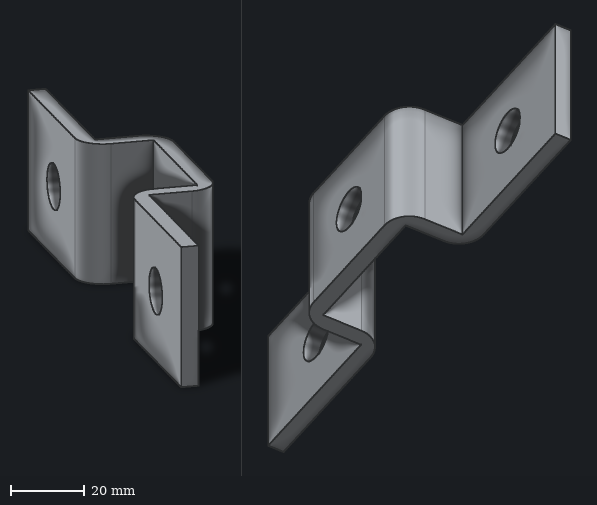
import cadquery as cq

length = 150.0
depth = 25.0
width = 40.0
thickness = 5.0

hat_width = 53.0
bend_radius = 8.0

hole_diameter = 13.0
hole_pitch = length / 3

end_x = length / 2
wall_outer_x = hat_width / 2
wall_inner_x = wall_outer_x - thickness
hat_underside_y = depth - thickness


def make_bent_strap():
    """Hat-shaped strip profile in XY, extruded along Z."""
    profile = (
        cq.Workplane("XY")
        .moveTo(-end_x, 0)
        .lineTo(-wall_inner_x - bend_radius, 0)
        .radiusArc((-wall_inner_x, bend_radius), -bend_radius)
        .lineTo(-wall_inner_x, hat_underside_y)
        .lineTo(wall_inner_x, hat_underside_y)
        .lineTo(wall_inner_x, bend_radius)
        .radiusArc((wall_inner_x + bend_radius, 0), -bend_radius)
        .lineTo(end_x, 0)
        .lineTo(end_x, thickness)
        .lineTo(wall_outer_x, thickness)
        .lineTo(wall_outer_x, depth - bend_radius)
        .radiusArc((wall_outer_x - bend_radius, depth), -bend_radius)
        .lineTo(-wall_outer_x + bend_radius, depth)
        .radiusArc((-wall_outer_x, depth - bend_radius), -bend_radius)
        .lineTo(-wall_outer_x, thickness)
        .lineTo(-end_x, thickness)
        .close()
    )
    return profile.extrude(width)


def make_hole_cutters():
    """Three cylinders along Y at mid-width, long enough to pass through the strap."""
    return (
        cq.Workplane("XZ")
        .pushPoints([(i * hole_pitch, width / 2) for i in (-1, 0, 1)])
        .circle(hole_diameter / 2)
        .extrude(-depth)
    )


result = make_bent_strap().cut(make_hole_cutters())